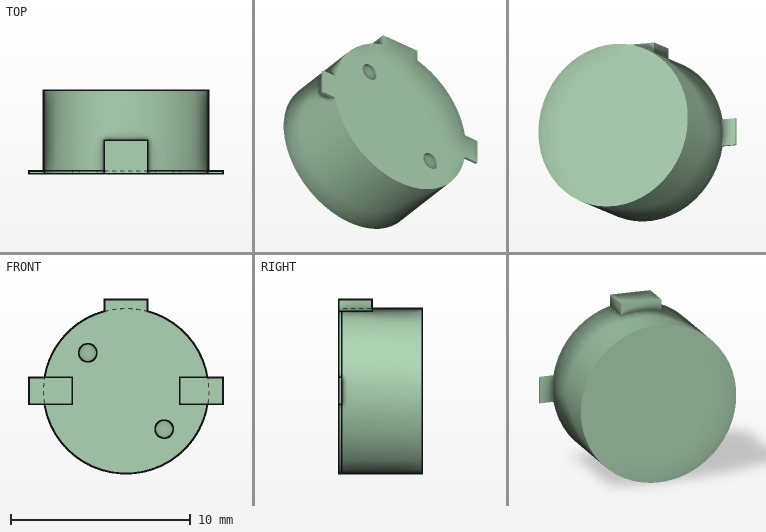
import cadquery as cq
import math

overall_width = 10.8
overall_depth = 4.65
tab_top = 5.1

body_diameter = 9.2
body_radius = body_diameter / 2
base_thickness = 0.16

tab_width = 2.4
tab_depth = 1.86

terminal_length = 2.4
terminal_height = 1.5

hole_diameter = 1.0
hole_circle_radius = 3.0
hole_angles = (135, 315)


def disc(start_y, depth):
    """Round slab of the body diameter, extending toward +Y from start_y."""
    return cq.Workplane("XZ", origin=(0, start_y, 0)).circle(body_radius).extrude(-depth)


def terminal_plate(side):
    """Flat solder terminal; side is -1 for the -X end and +1 for the +X end."""
    center_x = side * (overall_width - terminal_length) / 2
    return (
        cq.Workplane("XZ")
        .center(center_x, 0)
        .rect(terminal_length, terminal_height)
        .extrude(-base_thickness)
    )


def locating_tab():
    """Flat-topped tab whose underside rests on the round housing."""
    block = (
        cq.Workplane("XY")
        .box(tab_width, tab_depth, tab_top, centered=(True, False, False))
    )
    return block.cut(disc(base_thickness, overall_depth - base_thickness))


def base_plate(terminals):
    """Base disc with the tab, two round holes and a notch for each terminal."""
    hole_centers = [
        (
            hole_circle_radius * math.cos(math.radians(angle)),
            hole_circle_radius * math.sin(math.radians(angle)),
        )
        for angle in hole_angles
    ]
    holes = (
        cq.Workplane("XZ")
        .pushPoints(hole_centers)
        .circle(hole_diameter / 2)
        .extrude(-base_thickness)
    )
    plate = disc(0, base_thickness).union(locating_tab()).cut(holes)
    for terminal in terminals:
        plate = plate.cut(terminal)
    return plate


housing = disc(base_thickness, overall_depth - base_thickness)

terminals = [terminal_plate(side) for side in (-1, 1)]

base = base_plate(terminals)

result = cq.Compound.makeCompound(
    [housing.val(), base.val(), *[terminal.val() for terminal in terminals]]
)